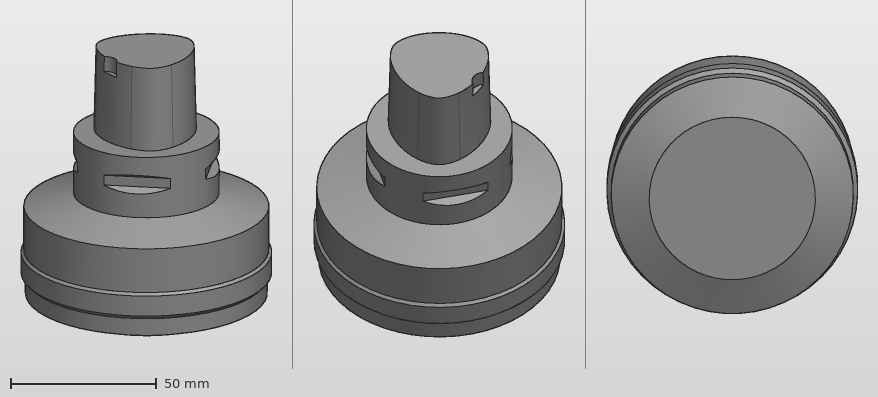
import cadquery as cq
import math

total_height = 94.0
base_radius = 28.5
lower_radius = 83.0 / 2
band_radius = 86.0 / 2
drum_radius = 84.0 / 2
flange_radius = 50.0 / 2
base_cone_top = 5.1
lower_rim_top = 11.2
band_bottom = 12.7
band_top = 20.0
drum_bottom = 21.0
drum_top = 36.9
flange_bottom = 41.9
flange_top = 64.0

shank_bottom_radius = 17.6
shank_top_radius = 16.8
lobe_height = 1.2
lobe_half_angle = 36
lobe_spacing = 120
spline_intervals = 8

notch_radius = 4.4
notch_center_y = -18.1
notch_depth = 5.45

slot_count = 4
slot_start_angle = 45
slot_center_z = 54.0
slot_floor_distance = 22.2
slot_floor_height = 3.6
slot_wall_angle = 30


def make_body():
    """Revolve the half profile of the stepped, conical body."""
    profile = [
        (0, 0),
        (base_radius, 0),
        (lower_radius, base_cone_top),
        (lower_radius, lower_rim_top),
        (band_radius, band_bottom),
        (band_radius, band_top),
        (drum_radius, drum_bottom),
        (drum_radius, drum_top),
        (flange_radius, flange_bottom),
        (flange_radius, flange_top),
        (0, flange_top),
    ]
    return cq.Workplane("XZ").polyline(profile).close().revolve(360, (0, 0), (0, 1))


def lobed_point(mean_radius, angle_degrees, z):
    """Point of a constant-width outline whose normal is turned by the angle from +Y."""
    angle = math.radians(angle_degrees)
    x = mean_radius * math.sin(angle) - lobe_height * (2 * math.sin(2 * angle) + math.sin(4 * angle))
    y = mean_radius * math.cos(angle) + lobe_height * (2 * math.cos(2 * angle) - math.cos(4 * angle))
    return cq.Vector(x, y, z)


def lobed_wire(mean_radius, z):
    """Closed outline made of alternating lobe tips and flatter sides."""
    edges = []
    for tip_angle in range(0, 360, lobe_spacing):
        breaks = [tip_angle - lobe_half_angle, tip_angle + lobe_half_angle]
        breaks.append(breaks[0] + lobe_spacing)
        for start, end in zip(breaks, breaks[1:]):
            step = (end - start) / spline_intervals
            points = [lobed_point(mean_radius, start + i * step, z) for i in range(spline_intervals + 1)]
            tangents = [
                cq.Vector(math.cos(math.radians(a)), -math.sin(math.radians(a)), 0) for a in (start, end)
            ]
            edges.append(cq.Edge.makeSpline(points, tangents=tangents))
    return cq.Wire.assembleEdges(edges)


def make_shank():
    bottom = lobed_wire(shank_bottom_radius, flange_top)
    top = lobed_wire(shank_top_radius, total_height)
    return cq.Workplane(cq.Solid.makeLoft([bottom, top], True))


def make_notch():
    return (
        cq.Workplane("XY", origin=(0, notch_center_y, total_height - notch_depth))
        .circle(notch_radius)
        .extrude(notch_depth)
    )


def make_slot(angle):
    """Straight slot with a flat floor and walls that flare outward."""
    flare = (flange_radius - slot_floor_distance) * math.tan(math.radians(slot_wall_angle))
    floor_half = slot_floor_height / 2
    mouth_half = floor_half + flare
    section = [
        (slot_floor_distance, slot_center_z - floor_half),
        (flange_radius, slot_center_z - mouth_half),
        (flange_radius, slot_center_z + mouth_half),
        (slot_floor_distance, slot_center_z + floor_half),
    ]
    slot = cq.Workplane("XZ").polyline(section).close().extrude(flange_radius, both=True)
    return slot.rotate((0, 0, 0), (0, 0, 1), angle)


result = make_body().union(make_shank()).cut(make_notch())
for index in range(slot_count):
    result = result.cut(make_slot(slot_start_angle + index * 360 / slot_count))